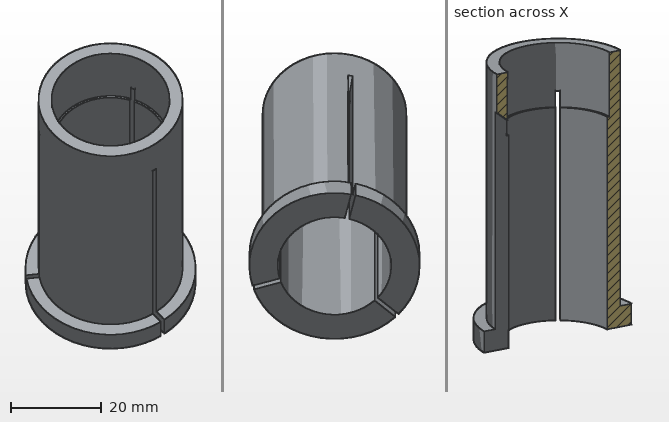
import cadquery as cq

total_height = 64.6
flange_diameter = 37.5
flange_height = 5.0
sleeve_diameter = 31.75
upper_bore_diameter = 26.0
lower_bore_diameter = 25.0
upper_bore_depth = 15.0

slot_count = 3
slot_width = 1.0
slot_top_margin = 9.0
slot_roof_drop = 2.3
first_slot_angle = 90.0

wall_thickness = (sleeve_diameter - upper_bore_diameter) / 2
slot_outer_height = total_height - slot_top_margin


def make_flanged_sleeve():
    """Solid sleeve standing on a round flange, base at Z = 0."""
    flange = cq.Workplane("XY").circle(flange_diameter / 2).extrude(flange_height)
    sleeve = cq.Workplane("XY").circle(sleeve_diameter / 2).extrude(total_height)
    return flange.union(sleeve)


def make_stepped_bore():
    """Through bore that widens slightly over its upper end."""
    lower_bore = cq.Workplane("XY").circle(lower_bore_diameter / 2).extrude(total_height)
    upper_bore = (
        cq.Workplane("XY")
        .workplane(offset=total_height - upper_bore_depth)
        .circle(upper_bore_diameter / 2)
        .extrude(upper_bore_depth)
    )
    return lower_bore.union(upper_bore)


def slot_roof(radius):
    """Height of the sloping slot roof at a given radius; it falls toward the axis."""
    fraction_inward = (sleeve_diameter / 2 - radius) / wall_thickness
    return slot_outer_height - slot_roof_drop * fraction_inward


def make_slot(angle):
    """Radial cutter from the axis to the flange edge, open at the base."""
    outer_radius = flange_diameter / 2
    profile = [
        (0, 0),
        (outer_radius, 0),
        (outer_radius, slot_roof(outer_radius)),
        (0, slot_roof(0)),
    ]
    return (
        cq.Workplane("XZ")
        .polyline(profile)
        .close()
        .extrude(slot_width / 2, both=True)
        .rotate((0, 0, 0), (0, 0, 1), angle)
    )


result = make_flanged_sleeve().cut(make_stepped_bore())
for index in range(slot_count):
    result = result.cut(make_slot(first_slot_angle + index * 360 / slot_count))